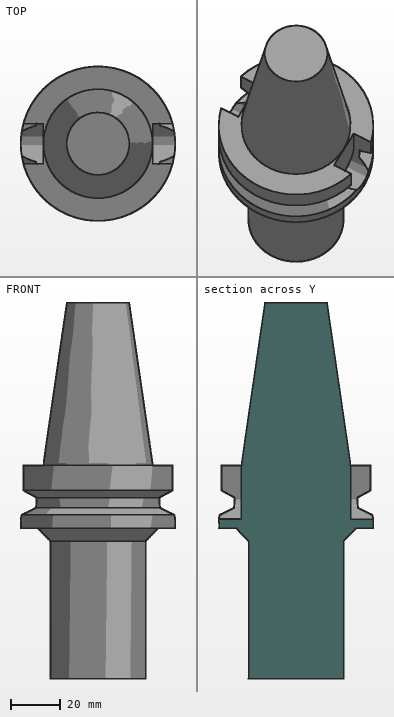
import cadquery as cq

total_height = 153.4
taper_length = 65.3
gauge_height = total_height - taper_length
collar_gap = 1.0
flange_top = gauge_height - collar_gap
flange_bottom = 61.4
groove_height = 71.8
groove_floor_width = 4.1
groove_side_height = 2.9
neck_cone_height = 5.2

flange_diameter = 63.0
groove_diameter = 52.8
gauge_diameter = 44.5
taper_tip_diameter = 25.5
neck_diameter = 49.1
shank_diameter = 39.0

slot_width = 16.4
slot_floor_offset = 22.4
slot_bottom = 65.2


def turned_body():
    """Revolve the half profile of shank, grooved flange and taper."""
    flange_radius = flange_diameter / 2
    groove_radius = groove_diameter / 2
    floor_bottom = groove_height - groove_floor_width / 2
    floor_top = groove_height + groove_floor_width / 2
    profile = [
        (0, 0),
        (shank_diameter / 2, 0),
        (shank_diameter / 2, flange_bottom - neck_cone_height),
        (neck_diameter / 2, flange_bottom),
        (flange_radius, flange_bottom),
        (flange_radius, floor_bottom - groove_side_height),
        (groove_radius, floor_bottom),
        (groove_radius, floor_top),
        (flange_radius, floor_top + groove_side_height),
        (flange_radius, flange_top),
        (gauge_diameter / 2, flange_top),
        (gauge_diameter / 2, gauge_height),
        (taper_tip_diameter / 2, total_height),
        (0, total_height),
    ]
    return cq.Workplane("XZ").polyline(profile).close().revolve(360, (0, 0), (0, 1))


def drive_slot(side):
    """Round-bottomed slot cutter, open at the top, on the +X (1) or -X (-1) side."""
    slot_radius = slot_width / 2
    arc_center = slot_bottom + slot_radius
    return (
        cq.Workplane("YZ")
        .workplane(offset=side * slot_floor_offset)
        .moveTo(-slot_radius, flange_top)
        .lineTo(-slot_radius, arc_center)
        .threePointArc((0, slot_bottom), (slot_radius, arc_center))
        .lineTo(slot_radius, flange_top)
        .close()
        .extrude(side * (flange_diameter / 2))
    )


result = turned_body()
for slot_side in (-1, 1):
    result = result.cut(drive_slot(slot_side))